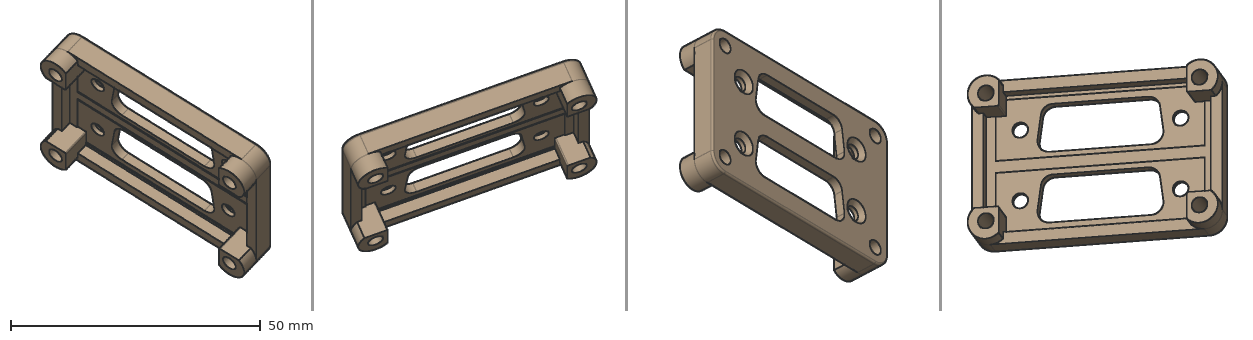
import cadquery as cq
import math

width = 51.5
height = 34.5
depth = 8.9

rim_depth = 5.0
rim_side_wall = 2.35
rim_end_wall = 2.45
corner_radius = 3.75
back_edge_radius = 0.45
floor_thickness = 2.35

recess_floor_thickness = 2.15
recess_side_margin = 4.2
recess_end_margin = 3.25
rib_height = 2.5

post_width = 6.4
post_height = 6.65
post_edge_radius = 0.25
post_hole_diameter = 3.25

window_spacing = 14.95
window_height = 10.1
window_mid_width = 25.3
window_side_angle = 7.7
window_corner_radius = 2.5
screw_spacing = 33.0
screw_hole_diameter = 3.2
countersink_diameter = 5.35
countersink_depth = 1.1

post_hole_x = width / 2 - corner_radius
post_hole_z = height / 2 - corner_radius


def sketch_plane(x, z, y_back=0):
    """Workplane parallel to the back face whose extrusions run forward, towards -Y."""
    return cq.Workplane("XZ", origin=(x, -y_back, z))


def post():
    """Upper right post: a round boss squared off towards the inside of the plate."""
    inner_x = post_width - corner_radius
    inner_z = post_height - corner_radius
    arc_rise = math.sqrt(corner_radius**2 - inner_x**2)
    arc_run = math.sqrt(corner_radius**2 - inner_z**2)
    diagonal = corner_radius * math.sqrt(0.5)
    outline = (
        sketch_plane(post_hole_x, post_hole_z, back_edge_radius)
        .moveTo(-inner_x, -inner_z)
        .lineTo(-inner_x, arc_rise)
        .threePointArc((diagonal, diagonal), (arc_run, -inner_z))
        .close()
    )
    boss = outline.extrude(depth - back_edge_radius)
    return boss.edges("|Y and <X and <Z").fillet(post_edge_radius)


def window(z):
    """Through cutter for one tapered opening."""
    half_height = window_height / 2
    taper = half_height * math.tan(math.radians(window_side_angle))
    top = window_mid_width / 2 - taper
    bottom = window_mid_width / 2 + taper
    outline = [(-bottom, -half_height), (bottom, -half_height), (top, half_height), (-top, half_height)]
    cutter = sketch_plane(0, z).polyline(outline).close().extrude(depth)
    return cutter.edges("|Y").fillet(window_corner_radius)


def screw_hole(x, z):
    """Through cutter for a screw, with a conical seat that widens towards the back face."""
    shank = sketch_plane(x, z).circle(screw_hole_diameter / 2).extrude(depth)
    seat = (
        sketch_plane(x, z)
        .circle(countersink_diameter / 2)
        .workplane(offset=countersink_depth)
        .circle(screw_hole_diameter / 2)
        .loft(ruled=True)
    )
    return shank.union(seat)


body = sketch_plane(0, 0).rect(width, height).extrude(rim_depth)
body = body.edges("|Y").fillet(corner_radius)
body = body.faces(">Y").edges().fillet(back_edge_radius)

cavity_width = width - 2 * rim_side_wall
cavity_height = height - 2 * rim_end_wall
body = body.cut(sketch_plane(0, 0, floor_thickness).rect(cavity_width, cavity_height).extrude(depth))

recess_width = width - 2 * recess_side_margin
recess_height = (height - rib_height) / 2 - recess_end_margin
recess_z = (rib_height + recess_height) / 2
for level in (-1, 1):
    recess = sketch_plane(0, level * recess_z, recess_floor_thickness).rect(recess_width, recess_height)
    body = body.cut(recess.extrude(depth))

right_posts = post().union(post().mirror("XY"))
body = body.union(right_posts).union(right_posts.mirror("YZ"))

corners = [(side, level) for side in (-1, 1) for level in (-1, 1)]
for side, level in corners:
    post_hole = sketch_plane(side * post_hole_x, level * post_hole_z).circle(post_hole_diameter / 2)
    body = body.cut(post_hole.extrude(depth))
    body = body.cut(screw_hole(side * screw_spacing / 2, level * window_spacing / 2))

for level in (-1, 1):
    body = body.cut(window(level * window_spacing / 2))

result = body